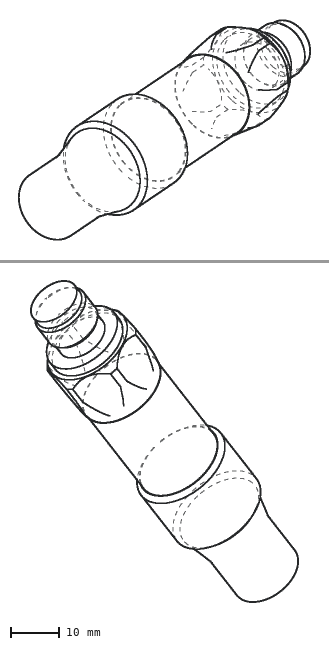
import cadquery as cq
import math

total_length = 91.0

nose_diameter = 15.2
dome_height = 1.3
nose_rim_radius = 1.0
nose_end = 13.5

sleeve_diameter = 20.9
sleeve_start = 21.6
sleeve_end = 38.6
sleeve_chamfer = 1.0

tube_diameter = 18.4
shoulder_diameter = 18.65
tube_end = 62.5

hex_blank_diameter = 21.0
hex_across_flats = 19.0
hex_full_start = 70.9
hex_full_end = 75.1
hex_end = 76.9
hex_face_diameter = 18.9
hex_sides = 6

collar_diameter = 16.8
collar_end = 79.15
plug_diameter = 10.9
ring_diameter = 12.0
ring_start = 82.4
ring_end = 88.9
ring_bevel_length = 0.68


def housing_blank():
    """Solid of revolution from the domed tip to the hexagon's end face."""
    nose_radius = nose_diameter / 2
    sleeve_radius = sleeve_diameter / 2
    tube_radius = tube_diameter / 2
    shoulder_radius = shoulder_diameter / 2
    blank_radius = hex_blank_diameter / 2
    dome_radius = (nose_radius**2 + dome_height**2) / (2 * dome_height)
    mid_radius = nose_radius / 2
    mid_y = dome_radius - math.sqrt(dome_radius**2 - mid_radius**2)

    profile = (
        cq.Workplane("XY")
        .moveTo(0, 0)
        .threePointArc((mid_radius, mid_y), (nose_radius, dome_height))
        .lineTo(nose_radius, nose_end)
        .lineTo(shoulder_radius, sleeve_start)
        .lineTo(sleeve_radius, sleeve_start + sleeve_chamfer)
        .lineTo(sleeve_radius, sleeve_end - sleeve_chamfer)
        .lineTo(shoulder_radius, sleeve_end)
        .lineTo(tube_radius, sleeve_end)
        .lineTo(tube_radius, tube_end)
        .lineTo(shoulder_radius, tube_end)
        .lineTo(blank_radius, hex_full_start)
        .lineTo(blank_radius, hex_full_end)
        .lineTo(hex_face_diameter / 2, hex_end)
        .lineTo(0, hex_end)
        .close()
    )
    blank = profile.revolve(360, (0, 0, 0), (0, 1, 0))
    rim = cq.selectors.NearestToPointSelector((0, dome_height, 0))
    return blank.faces("<Y").edges(rim).fillet(nose_rim_radius)


def cut_hex_flats(blank):
    """Cut the six flats, one facing +Z, along the hexagon's length."""
    flat_length = hex_end - tube_end
    flat_depth = hex_blank_diameter - hex_across_flats
    cutter = cq.Workplane("XY").box(
        hex_blank_diameter, flat_length, flat_depth, centered=(True, False, False)
    ).translate((0, tube_end, hex_across_flats / 2))
    for side in range(hex_sides):
        angle = side * 360 / hex_sides
        blank = blank.cut(cutter.rotate((0, 0, 0), (0, 1, 0), angle))
    return blank


def make_housing():
    return cut_hex_flats(housing_blank())


def make_connector():
    """Collar seated on the hexagon's end face, and the ringed plug."""
    collar_radius = collar_diameter / 2
    plug_radius = plug_diameter / 2
    ring_radius = ring_diameter / 2
    profile = (
        cq.Workplane("XY")
        .moveTo(0, hex_end)
        .lineTo(collar_radius, hex_end)
        .lineTo(collar_radius, collar_end)
        .lineTo(plug_radius, collar_end)
        .lineTo(plug_radius, ring_start)
        .lineTo(ring_radius, ring_start + ring_bevel_length)
        .lineTo(ring_radius, ring_end - ring_bevel_length)
        .lineTo(plug_radius, ring_end)
        .lineTo(plug_radius, total_length)
        .lineTo(0, total_length)
        .close()
    )
    return profile.revolve(360, (0, 0, 0), (0, 1, 0))


housing = make_housing()
connector = make_connector()
result = cq.Compound.makeCompound([housing.val(), connector.val()])